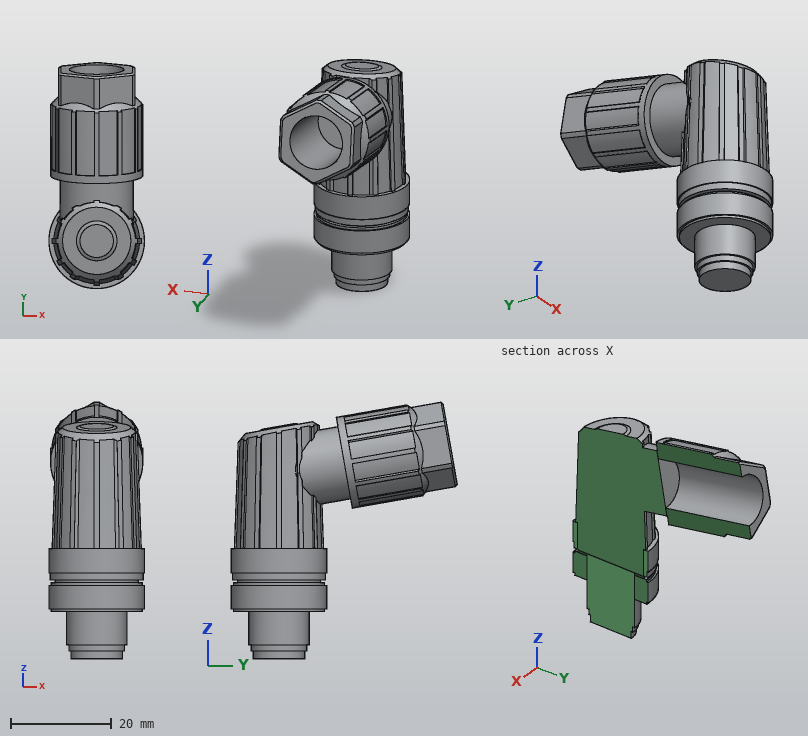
import cadquery as cq
import math

cable_rise = 10.0
cable_axis_height = 36.6

tip_radius = 5.15
tip_top = 1.6
step_radius = 5.55
step_top = 2.8
plug_radius = 6.0

ring_radius = 19.0 / 2
ring_bottom = 9.35
ring_top = 15.1
ring_lip_radius = 9.05
ring_lip_height = 0.5
seal_radius = 8.25
seal_top = 15.6
collar_top = 21.9
collar_band_top = 17.0
collar_band_radius = 9.25

draft_slope = math.tan(math.radians(2.0))
panel_radius = 8.5
rib_tip_radius = 8.85
housing_rib_width = 1.0
flanked_rib_angle = 33.5
housing_rib_angles = [0.0, flanked_rib_angle, 60.0, 90.0]
flank_foot_angle = 26.0
housing_stock_height = 27.5
roof_height = 45.85
roof_radius = 6.75
roof_bevel_slope = 0.85
boss_base_radius = 4.0
boss_top_radius = 3.3
boss_height = 0.25
tube_radius = 7.3

spoke_length = 10.2

nut_start = 13.15
nut_flange_end = 14.65
nut_shoulder = 27.3
nut_end = 34.45
nut_radius = 9.15
nut_panel_radius = 8.9
nut_rib_count = 12
nut_rib_width = 0.9
nut_flank_foot_angle = 25.4
hex_across_flats = 15.2
hex_corner_radius = 8.5
hex_chamfer_length = 0.5
hex_chamfer_depth = 0.35
nut_bore_radius = 5.4


def cylinder(radius, bottom, top):
    return cq.Workplane("XY").workplane(offset=bottom).circle(radius).extrude(top - bottom)


def cone(bottom_radius, top_radius, bottom, top):
    outline = [(0, bottom), (bottom_radius, bottom), (top_radius, top), (0, top)]
    return cq.Workplane("XZ").polyline(outline).close().revolve(360, (0, 0), (0, 1))


def spoke(angle, width, bottom, top):
    """Radial bar starting on the Z axis; angle 0 points along -Y."""
    bar = cq.Workplane("XY").box(width, spoke_length, top - bottom, centered=(True, False, False))
    return bar.rotate((0, 0, 0), (0, 0, 1), 180 + angle).translate((0, 0, bottom))


def along_cable(body):
    """Move a body built along Z onto the cable axis."""
    tilted = body.rotate((0, 0, 0), (1, 0, 0), cable_rise - 90)
    return tilted.translate((0, 0, cable_axis_height))


def on_roof(body):
    """Move a body built on the XY plane onto the sloping roof."""
    return body.rotate((0, 0, 0), (1, 0, 0), cable_rise).translate((0, 0, roof_height))


def polar(radius, angle):
    return (radius * math.sin(math.radians(angle)), -radius * math.cos(math.radians(angle)))


def rib_flanks(rib_angle, rib_width, crest_radius, foot_angle, foot_radius, bottom, top, taper=0.0):
    """Wedges that slope one side of the ribs at rib_angle either side of -Y and +Y."""
    crest_angle = rib_angle - math.degrees(math.asin(rib_width / 2 / crest_radius))

    def section(shrink):
        return [(0, 0), polar(foot_radius - shrink, foot_angle), polar(crest_radius - shrink, crest_angle)]

    lower = cq.Workplane("XY").workplane(offset=bottom).polyline(section(0)).close()
    upper = lower.workplane(offset=top - bottom).polyline(section(taper)).close()
    wedge = upper.loft(ruled=True)
    pair = wedge.union(wedge.mirror("YZ"))
    return pair.union(pair.mirror("XZ"))


def make_plug():
    tip = cylinder(tip_radius, 0, tip_top)
    step = cylinder(step_radius, tip_top, step_top)
    return tip.union(step).union(cylinder(plug_radius, step_top, seal_top))


def make_coupling_ring():
    lips = cylinder(ring_lip_radius, ring_bottom, ring_top)
    rim = cylinder(ring_radius, ring_bottom + ring_lip_height, ring_top - ring_lip_height)
    return lips.union(rim).cut(cylinder(plug_radius, ring_bottom, ring_top))


def make_seal():
    return cylinder(seal_radius, ring_top, seal_top).cut(cylinder(plug_radius, ring_top, seal_top))


def make_collar():
    band = cylinder(collar_band_radius, seal_top, collar_band_top)
    rim = cylinder(ring_radius, collar_band_top, collar_top)
    return band.union(rim).cut(cylinder(seal_radius, seal_top, collar_top))


def make_housing():
    stock_top = collar_top + housing_stock_height
    taper = housing_stock_height * draft_slope
    shell = cone(panel_radius, panel_radius - taper, collar_top, stock_top)
    crests = cone(rib_tip_radius, rib_tip_radius - taper, collar_top, stock_top)

    signed_angles = {side * angle for angle in housing_rib_angles for side in (1, -1)}
    rib_angles = {(base + angle) % 360 for base in (0, 180) for angle in signed_angles}
    for angle in sorted(rib_angles):
        rib = spoke(angle, housing_rib_width, collar_top, stock_top)
        shell = shell.union(rib.intersect(crests))

    flanks = rib_flanks(
        flanked_rib_angle, housing_rib_width, rib_tip_radius,
        flank_foot_angle, panel_radius, collar_top, stock_top, taper,
    )
    shell = shell.union(flanks)

    bevel_spread = roof_height / roof_bevel_slope
    envelope = on_roof(cone(roof_radius + bevel_spread, roof_radius, -roof_height, 0))
    shell = shell.intersect(envelope)
    boss = on_roof(cone(boss_base_radius, boss_top_radius, 0, boss_height))

    tube = along_cable(cylinder(tube_radius, 0, nut_start))
    spigot = cylinder(seal_radius, seal_top, collar_top)
    return shell.union(boss).union(tube).union(spigot)


def make_nut():
    shoulder_rise = nut_radius - hex_across_flats / 2
    grip_end = nut_shoulder + shoulder_rise
    grip = cylinder(nut_panel_radius, nut_start, grip_end)
    grip = grip.union(cylinder(nut_radius, nut_start, nut_flange_end))
    crests = cylinder(nut_radius, nut_flange_end, grip_end)
    rib_spacing = 360 / nut_rib_count
    for index in range(nut_rib_count):
        angle = index * rib_spacing
        rib = spoke(angle, nut_rib_width, nut_flange_end, grip_end)
        grip = grip.union(rib.intersect(crests))

    flanks = rib_flanks(
        rib_spacing, nut_rib_width, nut_radius,
        nut_flank_foot_angle, nut_panel_radius, nut_flange_end, grip_end,
    )
    grip = grip.union(flanks.rotate((0, 0, 0), (0, 0, 1), 90))

    shoulder = cone(nut_radius, nut_radius - shoulder_rise, nut_shoulder, grip_end)
    grip = grip.intersect(cylinder(nut_radius, nut_start, nut_shoulder).union(shoulder))

    across_corners = hex_across_flats / math.cos(math.radians(30))
    hexagon = (
        cq.Workplane("XY").workplane(offset=nut_flange_end)
        .transformed(rotate=(0, 0, 30))
        .polygon(6, across_corners).extrude(nut_end - nut_flange_end)
    )
    hexagon = hexagon.intersect(cylinder(hex_corner_radius, nut_flange_end, nut_end))
    hexagon = hexagon.faces(">Z").chamfer(hex_chamfer_length, hex_chamfer_depth)
    bore = cylinder(nut_bore_radius, nut_start, nut_end)
    return along_cable(grip.union(hexagon).cut(bore))


plug = make_plug()
coupling_ring = make_coupling_ring()
seal = make_seal()
collar = make_collar()
housing = make_housing()
nut = make_nut()

result = cq.Compound.makeCompound(
    [plug.val(), coupling_ring.val(), seal.val(), collar.val(), housing.val(), nut.val()]
)